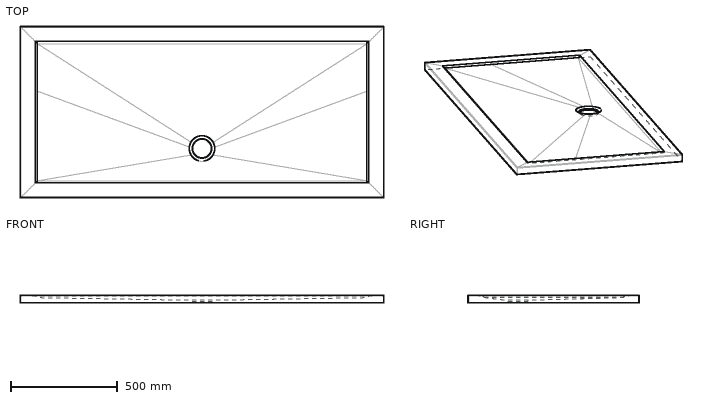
import cadquery as cq
import math

LENGTH = 1700.0
WIDTH = 800.0
HEIGHT = 35.0
EDGE_RADIUS = 3.0

RIM_WIDTH = 70.0
RIM_DROP = 2.0
SHORT_WALL_RUN = 10.0
LONG_WALL_RUN = 10.0
WALL_DROP = 8.0

DRAIN_Y = -170.0
DRAIN_SEAT_RADIUS = 60.0
DRAIN_HOLE_RADIUS = 45.0
FLOOR_FALL = 12.0
SEAT_DEPTH = 7.0
SIDE_CREASE_Y = 99.0
UPPER_CREASE_ANGLE = 30.0
SIDE_CREASE_ANGLE = 7.0
LOWER_CREASE_ANGLE = -30.0

RIM_INNER_Z = HEIGHT - RIM_DROP
FLOOR_EDGE_Z = RIM_INNER_Z - WALL_DROP
SEAT_Z = FLOOR_EDGE_Z - FLOOR_FALL


RIM_INNER_X = LENGTH / 2 - RIM_WIDTH
RIM_INNER_Y = WIDTH / 2 - RIM_WIDTH
FLOOR_X = RIM_INNER_X - SHORT_WALL_RUN
FLOOR_Y = RIM_INNER_Y - LONG_WALL_RUN


def rim_void():
    """Mitred void over the rim, falling from the rounded outer edge to the rim's inner edge."""
    return (
        cq.Workplane("XY", origin=(0, 0, RIM_INNER_Z))
        .rect(2 * RIM_INNER_X, 2 * RIM_INNER_Y)
        .workplane(offset=RIM_DROP)
        .rect(LENGTH - 2 * EDGE_RADIUS, WIDTH - 2 * EDGE_RADIUS)
        .loft(ruled=True)
    )


def wall_void():
    """Void between the walls; the long walls are arcs that meet the floor level."""
    arc_radius = (LONG_WALL_RUN**2 + WALL_DROP**2) / (2 * WALL_DROP)
    half_sweep = math.asin(LONG_WALL_RUN / arc_radius) / 2
    arc_y = FLOOR_Y + arc_radius * math.sin(half_sweep)
    arc_z = FLOOR_EDGE_Z + arc_radius * (1 - math.cos(half_sweep))
    lengthwise = (
        cq.Workplane("YZ")
        .moveTo(-FLOOR_Y, FLOOR_EDGE_Z)
        .lineTo(FLOOR_Y, FLOOR_EDGE_Z)
        .threePointArc((arc_y, arc_z), (RIM_INNER_Y, RIM_INNER_Z))
        .lineTo(-RIM_INNER_Y, RIM_INNER_Z)
        .threePointArc((-arc_y, arc_z), (-FLOOR_Y, FLOOR_EDGE_Z))
        .close()
        .extrude(RIM_INNER_X, both=True)
    )
    end_profile = [
        (-FLOOR_X, FLOOR_EDGE_Z),
        (FLOOR_X, FLOOR_EDGE_Z),
        (RIM_INNER_X, RIM_INNER_Z),
        (-RIM_INNER_X, RIM_INNER_Z),
    ]
    crosswise = cq.Workplane("XZ").polyline(end_profile).close().extrude(WIDTH / 2, both=True)
    return lengthwise.intersect(crosswise)


def seat_point(angle):
    """Point on the upper circle of the drain seat."""
    turn = math.radians(angle)
    return cq.Vector(DRAIN_SEAT_RADIUS * math.cos(turn), DRAIN_Y + DRAIN_SEAT_RADIUS * math.sin(turn), SEAT_Z)


def floor_void():
    """Void over the floor: six ruled faces from the floor edge to the drain seat."""
    right_side = [(FLOOR_X, -FLOOR_Y), (FLOOR_X, SIDE_CREASE_Y), (FLOOR_X, FLOOR_Y)]
    left_side = [(-x, y) for x, y in reversed(right_side)]
    edge_points = [cq.Vector(x, y, FLOOR_EDGE_Z) for x, y in right_side + left_side]

    right_angles = [LOWER_CREASE_ANGLE, SIDE_CREASE_ANGLE, UPPER_CREASE_ANGLE]
    angles = right_angles + [180 - angle for angle in reversed(right_angles)]
    next_angles = angles[1:] + [angles[0] + 360]
    arcs = [
        cq.Edge.makeThreePointArc(seat_point(start), seat_point((start + end) / 2), seat_point(end))
        for start, end in zip(angles, next_angles)
    ]

    floor_edge = cq.Wire.makePolygon(edge_points, close=True)
    seat_edge = cq.Wire.assembleEdges(arcs)
    faces = [
        cq.Face.makeRuledSurface(cq.Edge.makeLine(start, end), arc)
        for start, end, arc in zip(edge_points, edge_points[1:] + edge_points[:1], arcs)
    ]
    faces += [cq.Face.makeFromWires(floor_edge), cq.Face.makeFromWires(seat_edge)]
    return cq.Workplane(cq.Solid.makeSolid(cq.Shell.makeShell(faces)))


def drain_void():
    """Tapered drain seat with a hole through the tray."""
    seat = (
        cq.Workplane("XY", origin=(0, DRAIN_Y, SEAT_Z - SEAT_DEPTH))
        .circle(DRAIN_HOLE_RADIUS)
        .workplane(offset=SEAT_DEPTH)
        .circle(DRAIN_SEAT_RADIUS)
        .loft(ruled=True)
    )
    hole = cq.Workplane("XY", origin=(0, DRAIN_Y, 0)).circle(DRAIN_HOLE_RADIUS).extrude(SEAT_Z)
    return seat.union(hole)


body = cq.Workplane("XY").box(LENGTH, WIDTH, HEIGHT, centered=(True, True, False))
body = body.edges("|Z or >Z").fillet(EDGE_RADIUS)

result = body.cut(rim_void()).cut(wall_void()).cut(floor_void()).cut(drain_void())